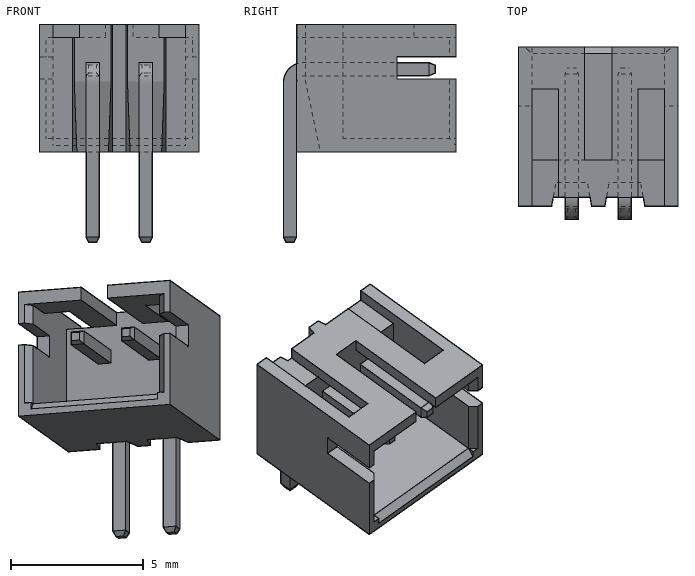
import cadquery as cq
import math


overall_height = 8.2
housing_width = 6.0
housing_depth = 6.0
housing_height = 4.805
wall = 0.5
inner_width = housing_width - 2 * wall
inner_height = housing_height - 2 * wall

cavity_depth = 4.26
mouth_chamfer = 0.255
cavity_end_y = housing_depth - cavity_depth

key_slot_width = 1.03
window_width = 1.0
window_offset = inner_width / 2 - window_width / 2
window_length = 4.41
side_slot_depth = 2.22
side_slot_bottom = 2.755
side_slot_top = 3.58

pin_size = 0.5
pin_pitch = 2.0
pin_count = 2
pin_axis_z = 3.12
pin_setback = 0.79
bend_outer_radius = 0.755
bend_inner_radius = bend_outer_radius - pin_size
tip_end_size = 0.3
mating_tip_length = 0.24
leg_tip_length = 0.2
pin_end_y = housing_depth - pin_setback
leg_end_z = housing_height - overall_height
pin_positions = [(i - (pin_count - 1) / 2) * pin_pitch for i in range(pin_count)]

recess_width = 1.5
recess_depth = 0.34
recess_bottom_depth = 0.89
recess_break_z = 2.65
recess_side_draft = 10.0


def block(x_range, y_range, z_range):
    """Axis-aligned box spanning the given coordinate ranges."""
    (x0, x1), (y0, y1), (z0, z1) = x_range, y_range, z_range
    return cq.Workplane("XY").box(x1 - x0, y1 - y0, z1 - z0, centered=False).translate((x0, y0, z0))


def make_cavity():
    """Mating cavity whose mouth flares at the floor and at both side walls."""
    half = inner_width / 2
    floor_z, ceiling_z = wall, housing_height - wall
    chamfer_y = housing_depth - mouth_chamfer
    cavity = block((-half, half), (cavity_end_y, housing_depth), (floor_z, ceiling_z))
    side_flare = (
        cq.Workplane("XY", origin=(0, 0, floor_z))
        .polyline([
            (-half, chamfer_y),
            (half, chamfer_y),
            (half + mouth_chamfer, housing_depth),
            (-half - mouth_chamfer, housing_depth),
        ])
        .close()
        .extrude(inner_height)
    )
    floor_flare = (
        cq.Workplane("YZ", origin=(-half, 0, 0))
        .polyline([
            (chamfer_y, floor_z),
            (housing_depth, floor_z - mouth_chamfer),
            (housing_depth, floor_z),
        ])
        .close()
        .extrude(inner_width)
    )
    return cavity.union(side_flare).union(floor_flare)


def make_recess(center_x):
    """Front recess: shallow at the top, sloping deeper below the pin, with drafted sides."""
    profile = (
        cq.Workplane("YZ", origin=(center_x - recess_width / 2, 0, 0))
        .polyline([
            (0, 0),
            (recess_bottom_depth, 0),
            (recess_depth, recess_break_z),
            (recess_depth, housing_height),
            (0, housing_height),
        ])
        .close()
        .extrude(recess_width)
    )
    front_half = recess_width / 2
    inner_half = front_half - recess_bottom_depth * math.tan(math.radians(recess_side_draft))
    drafted_plan = (
        cq.Workplane("XY", origin=(center_x, 0, 0))
        .polyline([
            (-front_half, 0),
            (front_half, 0),
            (inner_half, recess_bottom_depth),
            (-inner_half, recess_bottom_depth),
        ])
        .close()
        .extrude(housing_height)
    )
    return profile.intersect(drafted_plan)


def make_pin_tip(plane, length):
    """Square frustum that narrows from the pin section along the plane normal."""
    return (
        cq.Workplane(plane)
        .rect(pin_size, pin_size)
        .workplane(offset=length)
        .rect(tip_end_size, tip_end_size)
        .loft(combine=True)
    )


def make_pin(center_x):
    """Right-angle square pin with a pointed mating end and a pointed leg."""
    top_z = pin_axis_z + pin_size / 2
    bottom_z = top_z - pin_size
    bend_y = bend_outer_radius - pin_size
    bend_z = top_z - bend_outer_radius
    mating_y = pin_end_y - mating_tip_length
    leg_z = leg_end_z + leg_tip_length
    diagonal = math.sqrt(0.5)

    def bend_midpoint(radius):
        return (bend_y - radius * diagonal, bend_z + radius * diagonal)

    shank = (
        cq.Workplane("YZ", origin=(center_x - pin_size / 2, 0, 0))
        .moveTo(mating_y, top_z)
        .lineTo(bend_y, top_z)
        .threePointArc(bend_midpoint(bend_outer_radius), (-pin_size, bend_z))
        .lineTo(-pin_size, leg_z)
        .lineTo(0, leg_z)
        .lineTo(0, bend_z)
        .threePointArc(bend_midpoint(bend_inner_radius), (bend_y, bottom_z))
        .lineTo(mating_y, bottom_z)
        .close()
        .extrude(pin_size)
    )
    mating_plane = cq.Plane(origin=(center_x, mating_y, pin_axis_z), xDir=(1, 0, 0), normal=(0, 1, 0))
    leg_plane = cq.Plane(origin=(center_x, -pin_size / 2, leg_z), xDir=(1, 0, 0), normal=(0, 0, -1))
    mating_tip = make_pin_tip(mating_plane, mating_tip_length)
    leg_tip = make_pin_tip(leg_plane, leg_tip_length)
    return shank.union(mating_tip).union(leg_tip)


def make_housing(pins):
    """Open-backed shell with wall openings, front recesses and a hole fitting each pin."""
    half_width = housing_width / 2
    top_wall = (housing_height - wall, housing_height)
    body = block((-half_width, half_width), (0, housing_depth), (0, housing_height))
    body = body.cut(make_cavity())

    key_half = key_slot_width / 2
    body = body.cut(block((-key_half, key_half), (cavity_end_y, housing_depth), top_wall))

    for center_x in (-window_offset, window_offset):
        x_range = (center_x - window_width / 2, center_x + window_width / 2)
        body = body.cut(block(x_range, (0, window_length), top_wall))

    slot_y = (housing_depth - side_slot_depth, housing_depth)
    body = body.cut(block((-half_width, half_width), slot_y, (side_slot_bottom, side_slot_top)))

    for center_x in pin_positions:
        body = body.cut(make_recess(center_x))
    for pin in pins:
        body = body.cut(pin)
    return body


pins = [make_pin(center_x) for center_x in pin_positions]
housing = make_housing(pins)

result = cq.Compound.makeCompound([housing.solids().val(), *[pin.solids().val() for pin in pins]])